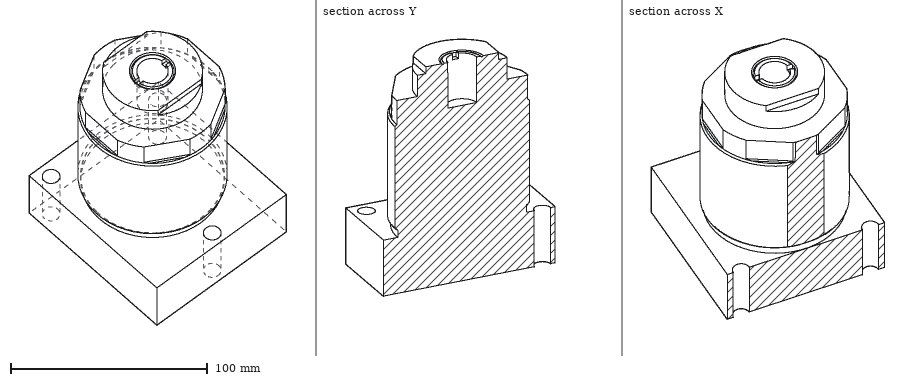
import cadquery as cq
import math


base_width_y = 88.9
base_left = base_width_y / 2
base_length_x = 96.85
base_height = 31.4
mount_hole_diameter = 9.0
mount_hole_offset = 36.5
side_hole_x = 45.25

neck_radius = 36.5
body_radius = 38.0
body_bottom_z = 35.3
body_bottom_chamfer = 1.3
body_top_z = 94.3
body_top_chamfer = 1.0

nut_radius = body_radius - body_top_chamfer
nut_sides = 6
nut_across_flats = 70.0
nut_top_z = 107.7
flare_height = 0.6
flare_width = 0.8

boss_radius = 25.4
boss_top_z = 123.33
boss_across_flats = 41.275
boss_flat_depth = 3.8

insert_radius = 10.2
groove_width = 1.55
groove_depth = 0.7
bore_radius = 8.0
bore_depth = 25.4
key_slot_width = 3.2
key_slot_depth = 3.0


def disc(radius, bottom, top):
    """Cylinder on the Z axis between two heights."""
    return cq.Workplane("XY").workplane(offset=bottom).circle(radius).extrude(top - bottom)


def make_base():
    """Rectangular plate with three through holes."""
    base = cq.Workplane("XY").box(base_length_x, base_width_y, base_height, centered=(False, True, False))
    base = base.translate((-base_left, 0, 0))
    hole_points = [
        (-mount_hole_offset, mount_hole_offset),
        (-mount_hole_offset, -mount_hole_offset),
        (side_hole_x, 0),
    ]
    holes = cq.Workplane("XY").pushPoints(hole_points).circle(mount_hole_diameter / 2).extrude(base_height)
    return base.cut(holes)


def make_body():
    """Chamfered cylinder on a slightly narrower neck."""
    neck = disc(neck_radius, base_height, body_bottom_z)
    body = disc(body_radius, body_bottom_z, body_top_z)
    body = body.faces("<Z").chamfer(body_bottom_chamfer)
    body = body.faces(">Z").chamfer(body_top_chamfer)
    return neck.union(body)


def hexagon(workplane, across_flats):
    """Hexagon with two flats facing +Y and -Y."""
    return workplane.polygon(nut_sides, across_flats / math.cos(math.pi / nut_sides))


def make_nut():
    """Hexagon with a flared lower edge, its corners rounded to the nut radius."""
    flare_top_z = body_top_z + flare_height
    prism = hexagon(cq.Workplane("XY").workplane(offset=flare_top_z), nut_across_flats)
    prism = prism.extrude(nut_top_z - flare_top_z)
    flare_across_flats = nut_across_flats + 2 * flare_width
    flare = hexagon(cq.Workplane("XY").workplane(offset=body_top_z), flare_across_flats)
    flare = hexagon(flare.workplane(offset=flare_height), nut_across_flats).loft(ruled=True)
    return prism.union(flare).intersect(disc(nut_radius, body_top_z, nut_top_z))


def make_boss():
    """Cylinder with a wrench flat stepped into each X side of its top."""
    boss = disc(boss_radius, nut_top_z, boss_top_z)
    flat_bottom_z = boss_top_z - boss_flat_depth
    side_width = boss_radius - boss_across_flats / 2
    for side in (-1, 1):
        step = cq.Workplane("XY").box(
            side_width, 2 * boss_radius, boss_flat_depth, centered=(True, True, False)
        )
        step_center_x = side * (boss_across_flats + side_width) / 2
        boss = boss.cut(step.translate((step_center_x, 0, flat_bottom_z)))
    return boss


def make_insert_cuts():
    """Blind bore, V groove around the insert, and a key slot on each Y side."""
    bore = disc(bore_radius, boss_top_z - bore_depth, boss_top_z)
    groove_bottom_radius = insert_radius + groove_width / 2
    groove = (
        cq.Workplane("XZ")
        .moveTo(insert_radius, boss_top_z)
        .lineTo(groove_bottom_radius, boss_top_z - groove_depth)
        .lineTo(insert_radius + groove_width, boss_top_z)
        .close()
        .revolve(360, (0, 0, 0), (0, 1, 0))
    )
    slots = cq.Workplane("XY").box(
        key_slot_width, 2 * groove_bottom_radius, key_slot_depth, centered=(True, True, False)
    )
    slots = slots.translate((0, 0, boss_top_z - key_slot_depth))
    slots = slots.intersect(disc(groove_bottom_radius, boss_top_z - key_slot_depth, boss_top_z))
    return bore.union(groove).union(slots)


result = make_base().union(make_body()).union(make_nut()).union(make_boss()).cut(make_insert_cuts())